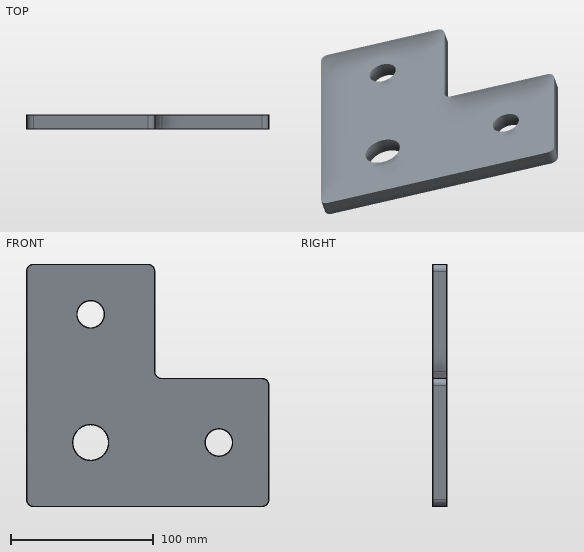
import cadquery as cq

side = 170.0
thickness = 10.0
arm_width = 90.0
corner_radius = 5.0

corner_hole_diameter = 25.0
end_hole_diameter = 19.0
hole_spacing = 90.0
hole_inset = arm_width / 2
end_hole_position = hole_inset + hole_spacing


def l_plate():
    """L-shaped plate in the XZ plane, front face at Y = 0, with all six corners rounded."""
    outline = [
        (0, 0),
        (side, 0),
        (side, arm_width),
        (arm_width, arm_width),
        (arm_width, side),
        (0, side),
    ]
    plate = cq.Workplane("XZ").polyline(outline).close().extrude(-thickness)
    return plate.edges("|Y").fillet(corner_radius)


def through_holes(diameter, centers):
    """Round cutters along Y through the full plate thickness."""
    return cq.Workplane("XZ").pushPoints(centers).circle(diameter / 2).extrude(-thickness)


corner_hole = through_holes(corner_hole_diameter, [(hole_inset, hole_inset)])
end_holes = through_holes(
    end_hole_diameter,
    [(end_hole_position, hole_inset), (hole_inset, end_hole_position)],
)

result = l_plate().cut(corner_hole).cut(end_holes)